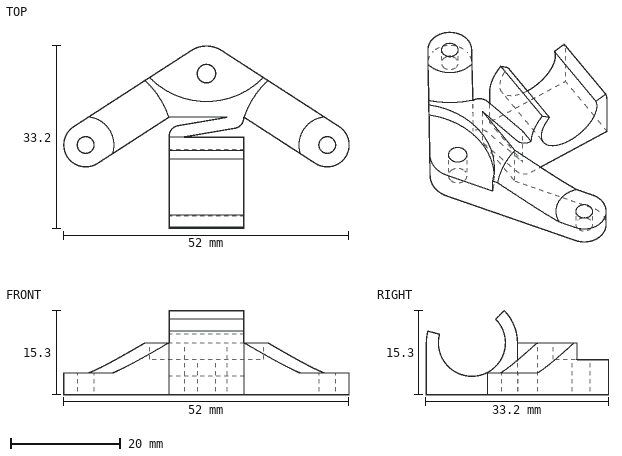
import cadquery as cq
import math

length = 52.0
body_height = 9.45

tip_radius = 4.0
tip_drop = 13.0
tip_hole_diameter = 3.0
tip_height = 4.0
apex_radius = 5.05
apex_hole_diameter = 3.35
apex_height = 6.4

recess_radius = 14.45
recess_center_y = 9.35

slope_inner_radius = 5.15
slope_outer_radius = 15.95

clip_width = 13.6
clip_outer_radius = 8.3
clip_inner_radius = 6.1
clip_center_y = -19.85
clip_back_angle = 135.0
clip_front_angle = 15.0

link_angle = 9.7
link_corner_radius = 2.0
link_body_x = 3.75
link_clip_x = -4.0

tip_x = length / 2 - tip_radius
half_clip = clip_width / 2
clip_back_y = clip_center_y + clip_outer_radius

arm_angle = math.atan2(tip_drop, tip_x) + math.asin(
    (apex_radius - tip_radius) / math.hypot(tip_x, tip_drop)
)
arm_slope = math.tan(arm_angle)
body_edge_y = -tip_drop + (tip_x - half_clip) * arm_slope - tip_radius / math.cos(arm_angle)


def cylinder(x, y, radius, height, base=0.0):
    return cq.Workplane("XY", origin=(x, y, base)).circle(radius).extrude(height)


def make_body():
    normal_x = math.sin(arm_angle)
    normal_y = math.cos(arm_angle)
    apex_tangent = (apex_radius * normal_x, apex_radius * normal_y)
    tip_outer = (tip_x + tip_radius * normal_x, -tip_drop + tip_radius * normal_y)
    tip_end = (tip_x + tip_radius * normal_y, -tip_drop - tip_radius * normal_x)
    tip_inner = (tip_x - tip_radius * normal_x, -tip_drop - tip_radius * normal_y)

    def mirrored(point):
        return (-point[0], point[1])

    return (
        cq.Workplane("XY")
        .moveTo(*mirrored(apex_tangent))
        .threePointArc((0, apex_radius), apex_tangent)
        .lineTo(*tip_outer)
        .threePointArc(tip_end, tip_inner)
        .lineTo(half_clip, body_edge_y)
        .lineTo(-half_clip, body_edge_y)
        .lineTo(*mirrored(tip_inner))
        .threePointArc(mirrored(tip_end), mirrored(tip_outer))
        .close()
        .extrude(body_height)
    )


def make_slope_cutter(x):
    """Upward-opening cone that leaves a flat tip pad and a sloping arm."""
    return (
        cq.Workplane("XZ", origin=(x, -tip_drop, 0))
        .moveTo(0, tip_height)
        .lineTo(slope_inner_radius, tip_height)
        .lineTo(slope_outer_radius, body_height)
        .lineTo(0, body_height)
        .close()
        .revolve(360, (0, 0, 0), (0, 1, 0))
    )


def make_link():
    rise = math.tan(math.radians(link_angle))
    upper_left_y = body_edge_y - (link_body_x + half_clip) * rise
    lower_right_y = clip_back_y + (half_clip - link_clip_x) * rise
    link = (
        cq.Workplane("XY")
        .moveTo(-half_clip, clip_back_y)
        .lineTo(link_clip_x, clip_back_y)
        .lineTo(half_clip, lower_right_y)
        .lineTo(half_clip, body_edge_y)
        .lineTo(link_body_x, body_edge_y)
        .lineTo(-half_clip, upper_left_y)
        .close()
        .extrude(body_height)
    )
    upper_left = cq.selectors.NearestToPointSelector((-half_clip, upper_left_y, body_height / 2))
    lower_right = cq.selectors.NearestToPointSelector((half_clip, lower_right_y, body_height / 2))
    link = link.edges(upper_left).fillet(link_corner_radius)
    return link.edges(lower_right).fillet(link_corner_radius)


def clip_point(radius, angle):
    """Point around the clip axis in (Y, Z); angle 0 is the front (-Y) side."""
    turn = math.radians(angle)
    return (clip_center_y - radius * math.cos(turn), body_height + radius * math.sin(turn))


def make_clip():
    bore_bottom_angle = 270.0
    front_side = clip_point(clip_outer_radius, 0)
    back_side = clip_point(clip_outer_radius, 180)
    return (
        cq.Workplane("YZ", origin=(-half_clip, 0, 0))
        .moveTo(front_side[0], 0)
        .lineTo(*front_side)
        .threePointArc(
            clip_point(clip_outer_radius, clip_front_angle / 2),
            clip_point(clip_outer_radius, clip_front_angle),
        )
        .lineTo(*clip_point(clip_inner_radius, clip_front_angle))
        .threePointArc(
            clip_point(clip_inner_radius, bore_bottom_angle),
            clip_point(clip_inner_radius, clip_back_angle),
        )
        .lineTo(*clip_point(clip_outer_radius, clip_back_angle))
        .threePointArc(clip_point(clip_outer_radius, (clip_back_angle + 180) / 2), back_side)
        .lineTo(back_side[0], 0)
        .close()
        .extrude(clip_width)
    )


body = make_body()
body = body.cut(cylinder(0, recess_center_y, recess_radius, body_height - apex_height, apex_height))
body = body.cut(cylinder(0, 0, apex_hole_diameter / 2, body_height))
for side in (-1, 1):
    body = body.cut(make_slope_cutter(side * tip_x))
    body = body.cut(cylinder(side * tip_x, -tip_drop, tip_hole_diameter / 2, body_height))

result = body.union(make_link()).union(make_clip())